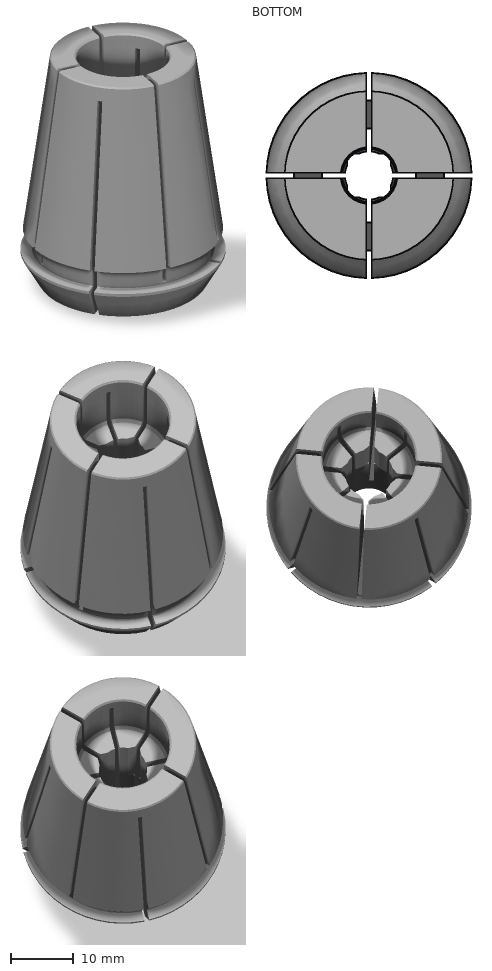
import cadquery as cq
import math

height = 40.0
body_half_angle = 8.0
nose_half_angle = 30.0

collar_radius = 16.4
collar_edge_z = 5.0
groove_bottom_z = 5.5
groove_top_z = 9.05
groove_radius = 14.6
groove_chamfer = 0.15
nose_chamfer = 0.1

body_base_radius = 16.0
top_chamfer = 0.25

shank_radius = 4.25
shank_depth = 18.0
shank_chamfer = 0.3
square_side = 6.9
square_relief_radius = 3.85
clearance_radius = 7.5
clearance_floor_z = 29.4
clearance_floor_chamfer = 0.5
mouth_chamfer = 0.3

slot_width = 0.8
slot_web = 2.5
upper_slot_floor_z = 5.95


def outer_body():
    """Revolved nose, groove and tapered body."""
    nose_base_radius = collar_radius - (collar_edge_z - nose_chamfer) * math.tan(
        math.radians(nose_half_angle)
    )
    body_edge_z = height - top_chamfer
    body_edge_radius = body_base_radius - (body_edge_z - groove_top_z) * math.tan(
        math.radians(body_half_angle)
    )
    return (
        cq.Workplane("XZ")
        .moveTo(0, 0)
        .lineTo(nose_base_radius - nose_chamfer, 0)
        .lineTo(nose_base_radius, nose_chamfer)
        .lineTo(collar_radius, collar_edge_z)
        .lineTo(collar_radius, groove_bottom_z)
        .lineTo(groove_radius + groove_chamfer, groove_bottom_z)
        .lineTo(groove_radius, groove_bottom_z + groove_chamfer)
        .lineTo(groove_radius, groove_top_z)
        .lineTo(body_base_radius, groove_top_z)
        .lineTo(body_edge_radius, body_edge_z)
        .lineTo(body_edge_radius - top_chamfer, height)
        .lineTo(0, height)
        .close()
        .revolve(360, (0, 0, 0), (0, 1, 0))
    )


def shank_bore():
    """Lower round bore, chamfered at the nose face."""
    return (
        cq.Workplane("XZ")
        .moveTo(0, 0)
        .lineTo(shank_radius + shank_chamfer, 0)
        .lineTo(shank_radius, shank_chamfer)
        .lineTo(shank_radius, shank_depth)
        .lineTo(0, shank_depth)
        .close()
        .revolve(360, (0, 0, 0), (0, 1, 0))
    )


def clearance_bore():
    """Upper bore, chamfered at its floor and flared at its mouth."""
    return (
        cq.Workplane("XZ")
        .moveTo(0, clearance_floor_z)
        .lineTo(clearance_radius - clearance_floor_chamfer, clearance_floor_z)
        .lineTo(clearance_radius, clearance_floor_z + clearance_floor_chamfer)
        .lineTo(clearance_radius, height - mouth_chamfer)
        .lineTo(clearance_radius + mouth_chamfer, height)
        .lineTo(0, height)
        .close()
        .revolve(360, (0, 0, 0), (0, 1, 0))
    )


def square_drive():
    """Square socket between the two round bores, relieved in the middle of its flats."""
    length = clearance_floor_z - shank_depth
    base = cq.Workplane("XY").workplane(offset=shank_depth)
    return base.rect(square_side, square_side).extrude(length).union(
        base.circle(square_relief_radius).extrude(length)
    )


def crossed_slots(bottom_z, top_z, angle):
    """Two full-width slots at right angles, turned about Z."""
    slots = cq.Workplane("XY").workplane(offset=bottom_z)
    span = 3 * collar_radius
    return (
        slots.rect(span, slot_width)
        .extrude(top_z - bottom_z)
        .union(slots.rect(slot_width, span).extrude(top_z - bottom_z))
        .rotate((0, 0, 0), (0, 0, 1), angle)
    )


lower_slots = crossed_slots(0, height - slot_web, 0)
upper_slots = crossed_slots(upper_slot_floor_z, height, 45)

result = (
    outer_body()
    .cut(shank_bore())
    .cut(square_drive())
    .cut(clearance_bore())
    .cut(lower_slots)
    .cut(upper_slots)
)